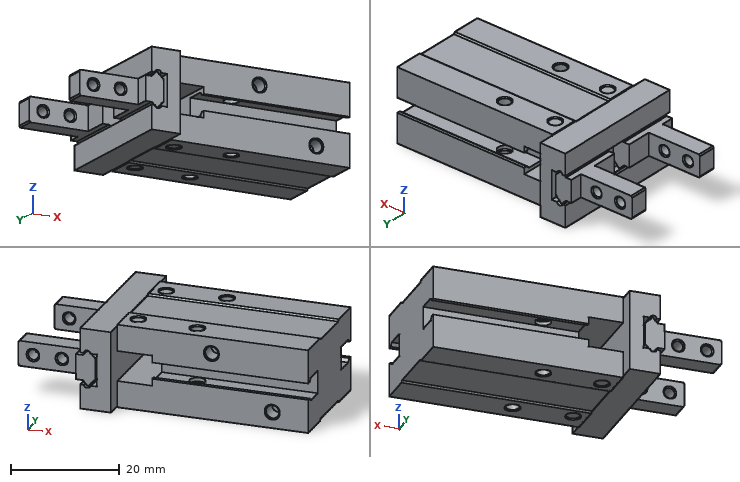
import cadquery as cq


total_length = 57.0

rail_width = 30.0
rail_height = 16.0
rail_front_x = 13.4
rail_back_x = 19.45

body_width = 23.0
body_height = 16.5

guide_height = 6.4
guide_back_x = 16.7
groove_radius = 0.7
groove_top_z = 3.7

recess_width = 10.15
recess_depth = 0.35

window_height = 6.0
window_end_x = 26.3
slot_opening = 3.25
slot_lip = 0.8
slot_undercut = 0.6
slot_depth = 5.25

hole_diameter = 2.55
countersink_diameter = 3.0
mount_hole_x = 33.9
mount_hole_spacing = 16.0
dimple_x = 22.1
dimple_spacing = 15.05
upper_port_x = 37.95
lower_port_x = 49.95
port_z = 5.0
port_depth = 3.4
orifice_diameter = 0.4
orifice_depth = 1.15

finger_height = 5.0
finger_width = 4.0
finger_center_y = 9.75
tip_chamfer_length = 0.2
tip_chamfer_height = 0.35
foot_front_x = 12.35
foot_back_x = 16.2
foot_inner_y = 2.1
foot_outer_y = 14.5
ridge_x = 14.75
ridge_z = 3.6
finger_hole_first_x = 2.9
finger_hole_pitch = 5.7
finger_hole_diameter = 2.05
finger_countersink_diameter = 2.55


def box_between(x_range, y_range, z_range):
    """Axis-aligned box given by its low and high limit on each axis."""
    lows, highs = zip(x_range, y_range, z_range)
    sizes = [high - low for low, high in zip(lows, highs)]
    return cq.Workplane("XY").box(*sizes, centered=False).translate(lows)


def centered_range(size):
    """Low and high limit of a size centred on zero."""
    return (-size / 2, size / 2)


def cylinder(center, direction, diameter, depth):
    """Cylinder that starts at center and runs along direction."""
    return cq.Workplane(cq.Solid.makeCylinder(diameter / 2, depth, cq.Vector(*center), cq.Vector(*direction)))


def countersink(center, direction, outer_diameter, inner_diameter):
    """45 degree cone that narrows along direction."""
    depth = (outer_diameter - inner_diameter) / 2
    return cq.Workplane(
        cq.Solid.makeCone(
            outer_diameter / 2, inner_diameter / 2, depth, cq.Vector(*center), cq.Vector(*direction)
        )
    )


def guide_slot_cutter():
    """Slot across the rail block, with a round groove in its roof and floor."""
    cutter = box_between(
        (rail_front_x, guide_back_x), centered_range(rail_width), centered_range(guide_height)
    )
    groove_z = groove_top_z - groove_radius
    for z in (-groove_z, groove_z):
        groove = cylinder((ridge_x, -rail_width / 2, z), (0, 1, 0), 2 * groove_radius, rail_width)
        cutter = cutter.union(groove)
    return cutter


def face_recess_cutter(side):
    """Recess with 45 degree flanks in the top (side = 1) or bottom (side = -1) face."""
    face_z = side * body_height / 2
    floor_z = face_z - side * recess_depth
    half_width = recess_width / 2
    floor_half_width = half_width - recess_depth
    return (
        cq.Workplane("YZ", origin=(rail_back_x, 0, 0))
        .polyline(
            [
                (-half_width, face_z),
                (-floor_half_width, floor_z),
                (floor_half_width, floor_z),
                (half_width, face_z),
            ]
        )
        .close()
        .extrude(total_length - rail_back_x)
    )


def sensor_slot_cutter(side):
    """Undercut slot along one side (side = -1 or 1), from the window to the back end."""
    outer_y = side * body_width / 2
    lip_y = outer_y - side * slot_lip
    wide_y = lip_y - side * slot_undercut
    floor_y = outer_y - side * slot_depth
    narrow_z = slot_opening / 2
    wide_z = narrow_z + slot_undercut
    return (
        cq.Workplane("YZ", origin=(window_end_x, 0, 0))
        .polyline(
            [
                (outer_y, narrow_z),
                (lip_y, narrow_z),
                (wide_y, wide_z),
                (floor_y, wide_z),
                (floor_y, -wide_z),
                (wide_y, -wide_z),
                (lip_y, -narrow_z),
                (outer_y, -narrow_z),
            ]
        )
        .close()
        .extrude(total_length - window_end_x)
    )


def mount_hole_cutter(face, side):
    """Hole through one jaw (face = -1 or 1), countersunk at both ends.

    The inner countersink lies level with the window, so a wider bore leads
    from it to the floor of the sensor slot.
    """
    y = side * mount_hole_spacing / 2
    inward = (0, 0, -face)
    outward = (0, 0, face)
    outer_mouth = (mount_hole_x, y, face * body_height / 2)
    inner_mouth = (mount_hole_x, y, face * window_height / 2)
    wide_bore_depth = window_height / 2 - slot_opening / 2 - slot_undercut
    bore = cylinder(outer_mouth, inward, hole_diameter, (body_height - window_height) / 2)
    outer_cone = countersink(outer_mouth, inward, countersink_diameter, hole_diameter)
    inner_cone = countersink(inner_mouth, outward, countersink_diameter, hole_diameter)
    wide_bore = cylinder(inner_mouth, inward, countersink_diameter, wide_bore_depth)
    return bore.union(outer_cone).union(inner_cone).union(wide_bore)


def port_cutter(x, z):
    """Blind port in the -Y side with a fine orifice in its floor."""
    inward = (0, 1, 0)
    mouth = (x, -body_width / 2, z)
    bore = cylinder(mouth, inward, hole_diameter, port_depth)
    orifice = cylinder(mouth, inward, orifice_diameter, port_depth + orifice_depth)
    cone = countersink(mouth, inward, countersink_diameter, hole_diameter)
    return bore.union(cone).union(orifice)


def make_housing():
    rail = box_between(
        (rail_front_x, rail_back_x), centered_range(rail_width), centered_range(rail_height)
    )
    body = box_between(
        (rail_back_x, total_length), centered_range(body_width), centered_range(body_height)
    )
    window = box_between(
        (rail_back_x, window_end_x), centered_range(body_width), centered_range(window_height)
    )
    housing = rail.union(body).cut(window).cut(guide_slot_cutter())

    for side in (-1, 1):
        housing = housing.cut(face_recess_cutter(side)).cut(sensor_slot_cutter(side))

    for face in (-1, 1):
        for side in (-1, 1):
            housing = housing.cut(mount_hole_cutter(face, side))
            dimple_mouth = (dimple_x, side * dimple_spacing / 2, face * body_height / 2)
            dimple = countersink(dimple_mouth, (0, 0, -face), countersink_diameter, hole_diameter)
            housing = housing.cut(dimple)

    housing = housing.cut(port_cutter(upper_port_x, port_z))
    housing = housing.cut(port_cutter(lower_port_x, -port_z))
    return housing


def make_finger(side):
    """Finger on one side (side = -1 or 1): a bar on a foot whose ridges run in the rail."""
    half_height = finger_height / 2
    tip_half_height = half_height - tip_chamfer_height
    bar_start_y = side * finger_center_y - finger_width / 2
    bar = (
        cq.Workplane("XZ", origin=(0, bar_start_y, 0))
        .polyline(
            [
                (0, tip_half_height),
                (tip_chamfer_length, half_height),
                (foot_front_x, half_height),
                (foot_front_x, -half_height),
                (tip_chamfer_length, -half_height),
                (0, -tip_half_height),
            ]
        )
        .close()
        .extrude(-finger_width)
    )

    ridge_front_x = ridge_x - (ridge_z - half_height)
    foot_back_z = ridge_z - (foot_back_x - ridge_x)
    foot_start_y = min(side * foot_inner_y, side * foot_outer_y)
    foot = (
        cq.Workplane("XZ", origin=(0, foot_start_y, 0))
        .polyline(
            [
                (foot_front_x, half_height),
                (ridge_front_x, half_height),
                (ridge_x, ridge_z),
                (foot_back_x, foot_back_z),
                (foot_back_x, -foot_back_z),
                (ridge_x, -ridge_z),
                (ridge_front_x, -half_height),
                (foot_front_x, -half_height),
            ]
        )
        .close()
        .extrude(foot_inner_y - foot_outer_y)
    )
    finger = bar.union(foot)

    for index in range(2):
        x = finger_hole_first_x + index * finger_hole_pitch
        near_mouth = (x, bar_start_y, 0)
        far_mouth = (x, bar_start_y + finger_width, 0)
        finger = finger.cut(cylinder(near_mouth, (0, 1, 0), finger_hole_diameter, finger_width))
        for mouth, inward in ((near_mouth, (0, 1, 0)), (far_mouth, (0, -1, 0))):
            finger = finger.cut(
                countersink(mouth, inward, finger_countersink_diameter, finger_hole_diameter)
            )
    return finger


housing = make_housing()
fingers = [make_finger(side) for side in (-1, 1)]

result = cq.Compound.makeCompound([housing.val(), *[finger.val() for finger in fingers]])